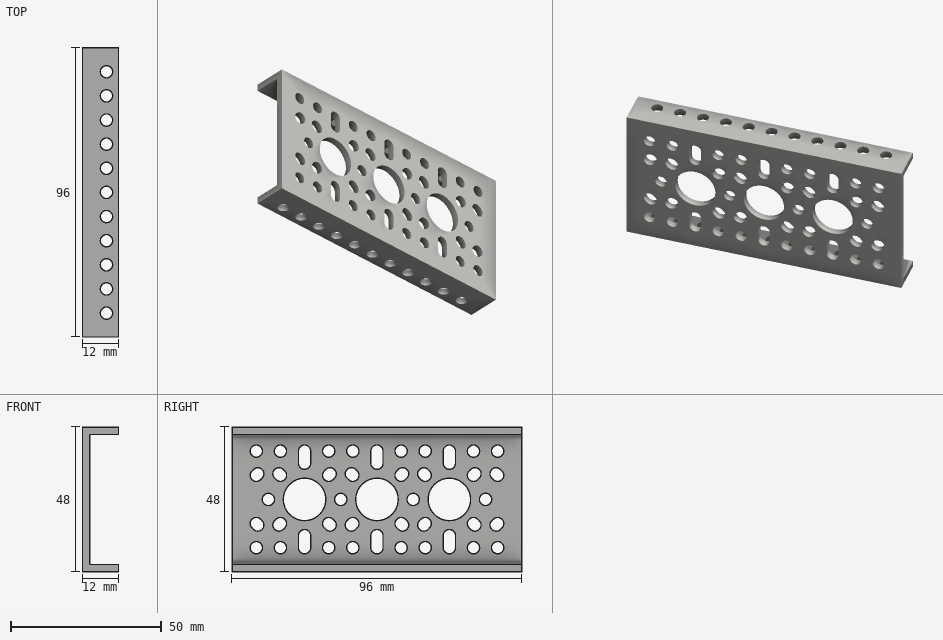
import cadquery as cq
import math

channel_depth = 12.0
channel_length = 96.0
channel_height = 48.0
wall = 2.5

pitch = 8.0
hole_diameter = 4.0
bore_diameter = 14.0
bore_count = 3
bore_spacing = 3 * pitch
outer_row = 2 * pitch
slot_length = pitch
flange_hole_x = pitch
flange_hole_count = 11
bolt_circle_radius = 12.0

grid_corner_radius = math.hypot(pitch, pitch)
diagonal_radius = (grid_corner_radius + bolt_circle_radius) / 2
diagonal_offset = diagonal_radius / math.sqrt(2)
diagonal_length = bolt_circle_radius - grid_corner_radius + hole_diameter


def centred_positions(count, spacing):
    """Evenly spaced coordinates, symmetric about zero."""
    return [(i - (count - 1) / 2) * spacing for i in range(count)]


bore_ys = centred_positions(bore_count, bore_spacing)
pattern_ys = centred_positions(bore_count + 2, bore_spacing)
between_bore_ys = centred_positions(bore_count + 1, bore_spacing)


def make_channel():
    outer = cq.Workplane("XY").box(
        channel_depth, channel_length, channel_height, centered=(False, True, True)
    )
    inner = cq.Workplane("XY").box(
        channel_depth, channel_length, channel_height - 2 * wall, centered=(False, True, True)
    )
    return outer.cut(inner.translate((wall, 0, 0)))


def web_sketch(points):
    """Points given as (y, z) on the outer web face."""
    return cq.Workplane("YZ").pushPoints(points)


def web_bores():
    return web_sketch([(y, 0) for y in bore_ys]).circle(bore_diameter / 2).extrude(wall)


def web_round_holes():
    points = [(y, 0) for y in between_bore_ys]
    for y in between_bore_ys:
        for side in (-1, 1):
            for row in (-1, 1):
                points.append((y + side * pitch / 2, row * outer_row))
    return web_sketch(points).circle(hole_diameter / 2).extrude(wall)


def web_upright_slots():
    slot_z = outer_row - (slot_length - hole_diameter) / 2
    points = [(y, row * slot_z) for y in bore_ys for row in (-1, 1)]
    return web_sketch(points).slot2D(slot_length, hole_diameter, 90).extrude(wall)


def web_diagonal_slots(slope):
    """Slots leaning along +45 or -45 degrees, set by the sign of slope."""
    points = []
    for y in pattern_ys:
        for side in (-1, 1):
            slot_y = y + side * diagonal_offset
            if abs(slot_y) < channel_length / 2:
                points.append((slot_y, side * slope * diagonal_offset))
    return web_sketch(points).slot2D(diagonal_length, hole_diameter, slope * 45).extrude(wall)


def flange_holes():
    points = [(flange_hole_x, y) for y in centred_positions(flange_hole_count, pitch)]
    drills = cq.Workplane("XY").pushPoints(points).circle(hole_diameter / 2)
    return drills.extrude(channel_height / 2, both=True)


result = (
    make_channel()
    .cut(web_bores())
    .cut(web_round_holes())
    .cut(web_upright_slots())
    .cut(web_diagonal_slots(1))
    .cut(web_diagonal_slots(-1))
    .cut(flange_holes())
)